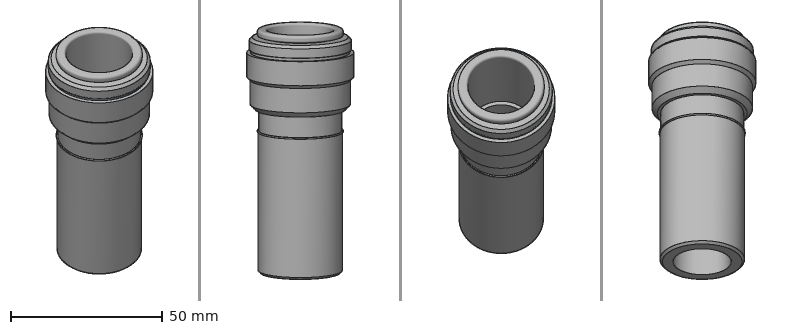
import cadquery as cq

total_height = 81.8

collar_diameter = 28.55
collar_neck_diameter = 24.0
cap_diameter = 33.8
groove_diameter = 33.0
body_diameter = 35.5
lower_body_diameter = 33.3
neck_diameter = 27.5
bead_diameter = 28.55
tube_diameter = 28.0
socket_diameter = 22.0
bore_diameter = 19.2

collar_length = 2.2
collar_neck_length = 0.5
cap_length = 4.2
groove_length = 1.0
body_length = 9.2
lower_body_length = 10.0
neck_length = 7.3

collar_top_radius = 1.0
collar_bottom_radius = 0.5
mouth_radius = 0.8
cap_chamfer = 1.0
body_chamfer = (body_diameter - lower_body_diameter) / 2
lower_body_chamfer = 1.8
tube_end_chamfer = 0.8

bead_radius = (bead_diameter - tube_diameter) / 2


def disc(diameter, length, top):
    """Solid disc on the Z axis that hangs down from the height `top`."""
    return cq.Workplane("XY").workplane(offset=top - length).circle(diameter / 2).extrude(length)


collar_bottom = total_height - collar_length
cap_top = collar_bottom - collar_neck_length
cap_bottom = cap_top - cap_length
body_top = cap_bottom - groove_length
body_bottom = body_top - body_length
head_bottom = body_bottom - lower_body_length
tube_top = head_bottom - neck_length

collar = disc(collar_diameter, collar_length, total_height)
collar = collar.faces(">Z").edges().fillet(collar_top_radius)
collar = collar.faces("<Z").edges().fillet(collar_bottom_radius)
collar_neck = disc(collar_neck_diameter, collar_neck_length, collar_bottom)

cap = disc(cap_diameter, cap_length, cap_top).faces(">Z").edges().chamfer(cap_chamfer)
groove = disc(groove_diameter, groove_length, cap_bottom)
body = disc(body_diameter, body_length, body_top).faces("<Z").edges().chamfer(body_chamfer)
lower_body = disc(lower_body_diameter, lower_body_length, body_bottom)
lower_body = lower_body.faces("<Z").edges().chamfer(lower_body_chamfer)

neck = disc(neck_diameter, neck_length, head_bottom)
bead = cq.Workplane(cq.Solid.makeTorus(tube_diameter / 2, bead_radius, cq.Vector(0, 0, tube_top)))
tube = disc(tube_diameter, tube_top, tube_top).faces("<Z").edges().chamfer(tube_end_chamfer)

result = collar
for section in (collar_neck, cap, groove, body, lower_body, neck, tube, bead):
    result = result.union(section)

socket = disc(socket_diameter, total_height - head_bottom, total_height)
bore = disc(bore_diameter, total_height, total_height)
result = result.cut(socket).cut(bore)

mouth_edge = cq.selectors.RadiusNthSelector(0)
result = result.faces(">Z").edges(mouth_edge).fillet(mouth_radius)